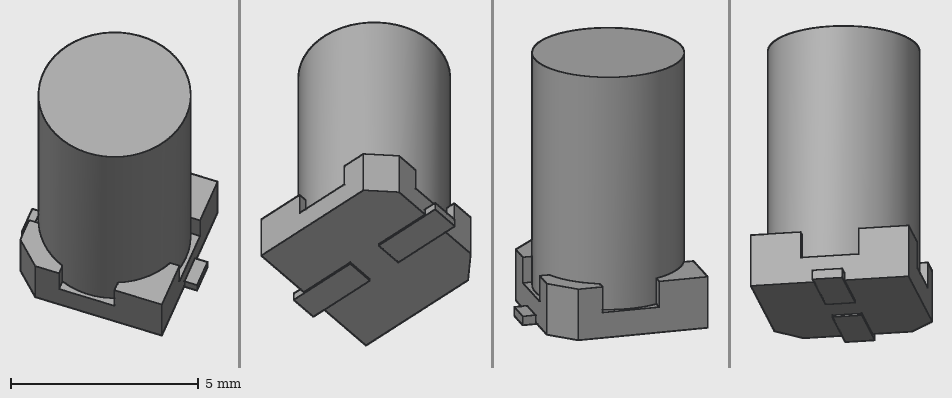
import cadquery as cq

base_width = 4.29
base_bottom = 0.05
base_top = 1.5
corner_chamfer = 0.675

notch_width = 1.58
notch_floor = 0.77

can_diameter = 4.075
can_top = 7.34

terminal_span = 5.0
terminal_gap = 1.0
terminal_width = 0.81
terminal_thickness = 0.26
terminal_length = (terminal_span - terminal_gap) / 2
terminal_center = (terminal_span + terminal_gap) / 4


def make_can():
    return (
        cq.Workplane("XY")
        .workplane(offset=notch_floor)
        .circle(can_diameter / 2)
        .extrude(can_top - notch_floor)
    )


def make_terminal(side):
    """Terminal at the -X end (side = -1) or the +X end (side = 1), resting on Z = 0."""
    return (
        cq.Workplane("XY")
        .center(side * terminal_center, 0)
        .rect(terminal_length, terminal_width)
        .extrude(terminal_thickness)
    )


def make_base(can, terminals):
    """Base with side notches, a seat for the can and a recess for each terminal."""
    base = (
        cq.Workplane("XY")
        .workplane(offset=base_bottom)
        .rect(base_width, base_width)
        .extrude(base_top - base_bottom)
        .edges("|Z and <X")
        .chamfer(corner_chamfer)
    )
    for length_x, length_y in [(base_width, notch_width), (notch_width, base_width)]:
        notch = (
            cq.Workplane("XY")
            .workplane(offset=notch_floor)
            .rect(length_x, length_y)
            .extrude(base_top - notch_floor)
        )
        base = base.cut(notch)
    base = base.cut(can)
    for terminal in terminals:
        base = base.cut(terminal)
    return base


can = make_can()
terminals = [make_terminal(side) for side in (-1, 1)]
base = make_base(can, terminals)

result = cq.Compound.makeCompound([base.solids().val(), can.val(), *[terminal.val() for terminal in terminals]])